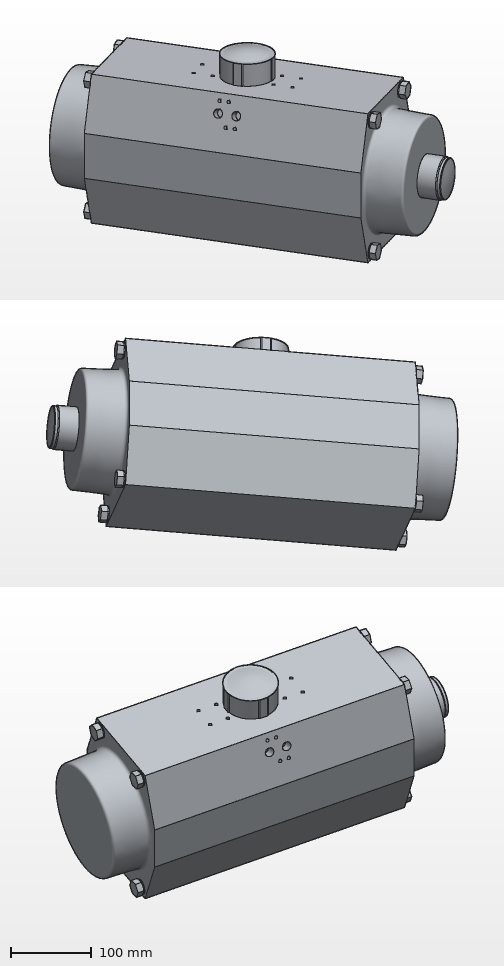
import cadquery as cq
import math


BODY_WIDTH = 175.0
BODY_HEIGHT = 199.5
TOP_WIDTH = 125.0
SIDE_HEIGHT = 60.0
HOUSING_LENGTH = 315.5
PLATE_THICKNESS = 24.5
HALF_HEIGHT = BODY_HEIGHT / 2
HOUSING_END = HOUSING_LENGTH / 2
PLATE_END = HOUSING_END + PLATE_THICKNESS
SLOPE_RUN = (BODY_WIDTH - TOP_WIDTH) / 2
SLOPE_DROP = (BODY_HEIGHT - SIDE_HEIGHT) / 2

CAP_END = 234.0
CAP_BASE_RADIUS = 77.5
CAP_END_RADIUS = 75.5
CAP_FOOT_FILLET = 4.5
CAP_RIM_FILLET = 3.5

NUT_RADIUS = 27.5
NUT_COLLAR_END = 258.5
NUT_NECK_RADIUS = 26.5
NUT_NECK_START = 260.0
NUT_NECK_END = 263.5
NUT_DOME_RADIUS = 25.5
NUT_DOME_START = 264.5
NUT_END = 267.0

KNOB_RADIUS = 34.0
KNOB_RIM_RADIUS = 34.5
KNOB_RIM_THICKNESS = 0.5
KNOB_TOP = 130.0
DOME_RADIUS = 29.0
DOME_RISE = 5.0
RIB_COUNT = 4
RIB_ROOT_WIDTH = 13.5
RIB_CREST_WIDTH = 10.5

BOLT_Y = 52.0
BOLT_Z = 87.5
BOLT_ACROSS_FLATS = 19.0
BOLT_PROTRUSION = 10.0
BOLT_TURN = 9.0
WASHER_DIAMETER = 20.0
WASHER_THICKNESS = 1.5

SCREW_HOLE_DIAMETER = 4.2
SCREW_HOLE_DEPTH = 10.0
TOP_HOLE_X = (40.0, 65.0)
TOP_HOLE_Y = 15.0
PORT_DIAMETER = 11.5
PORT_DEPTH = 15.0
PORT_Z = 75.0
PORT_X = 12.0
PORT_SCREW_OFFSET = 16.0


def dome_mid_rise(base_radius, rise):
    """Height of a spherical dome above its base, halfway out to its edge."""
    sphere_radius = (base_radius ** 2 + rise ** 2) / (2 * rise)
    return rise - sphere_radius + math.sqrt(sphere_radius ** 2 - (base_radius / 2) ** 2)


def body_prism(start, end):
    """Length of the eight-sided body section from X = start to X = end."""
    side, top = BODY_WIDTH / 2, TOP_WIDTH / 2
    corner = SIDE_HEIGHT / 2
    outline = [
        (top, HALF_HEIGHT), (side, corner), (side, -corner), (top, -HALF_HEIGHT),
        (-top, -HALF_HEIGHT), (-side, -corner), (-side, corner), (-top, HALF_HEIGHT),
    ]
    return cq.Workplane("YZ", origin=(start, 0, 0)).polyline(outline).close().extrude(end - start)


def body():
    """Housing between two end plates; the seams between them are kept."""
    housing = body_prism(-HOUSING_END, HOUSING_END)
    left_plate = body_prism(-PLATE_END, -HOUSING_END)
    right_plate = body_prism(HOUSING_END, PLATE_END)
    return housing.union(left_plate, clean=False).union(right_plate, clean=False)


def cap():
    """Tapered cap on the +X end plate, with a flared foot and a rounded rim."""
    arc_mid = CAP_FOOT_FILLET * (1 - math.sqrt(0.5))
    return (
        cq.Workplane("XY")
        .moveTo(PLATE_END, 0)
        .lineTo(PLATE_END, CAP_BASE_RADIUS + CAP_FOOT_FILLET)
        .threePointArc(
            (PLATE_END + arc_mid, CAP_BASE_RADIUS + arc_mid),
            (PLATE_END + CAP_FOOT_FILLET, CAP_BASE_RADIUS),
        )
        .lineTo(CAP_END, CAP_END_RADIUS)
        .lineTo(CAP_END, 0)
        .close()
        .revolve(360, (0, 0, 0), (1, 0, 0))
        .faces(">X")
        .edges()
        .fillet(CAP_RIM_FILLET)
    )


def bolt(y, z, turn):
    """Bolt head on a washer, standing on the +X end plate."""
    seat = cq.Workplane("YZ", origin=(PLATE_END, y, z))
    washer = seat.circle(WASHER_DIAMETER / 2).extrude(WASHER_THICKNESS)
    head = (
        seat.workplane(offset=WASHER_THICKNESS)
        .transformed(rotate=(0, 0, turn))
        .polygon(6, BOLT_ACROSS_FLATS / math.cos(math.pi / 6))
        .extrude(BOLT_PROTRUSION - WASHER_THICKNESS)
    )
    return washer.union(head)


def end_cover():
    """Cap and four bolts on the +X end; the +Y upper bolt is turned the other way."""
    cover = cap()
    for y, z, turn in [
        (BOLT_Y, BOLT_Z, BOLT_TURN),
        (-BOLT_Y, BOLT_Z, -BOLT_TURN),
        (-BOLT_Y, -BOLT_Z, -BOLT_TURN),
        (BOLT_Y, -BOLT_Z, -BOLT_TURN),
    ]:
        cover = cover.union(bolt(y, z, turn))
    return cover


def stop_nut():
    """Turned stop nut on the face of the +X cap."""
    dome_mid = NUT_DOME_START + dome_mid_rise(NUT_DOME_RADIUS, NUT_END - NUT_DOME_START)
    return (
        cq.Workplane("XY")
        .moveTo(CAP_END, 0)
        .lineTo(CAP_END, NUT_RADIUS)
        .lineTo(NUT_COLLAR_END, NUT_RADIUS)
        .lineTo(NUT_NECK_START, NUT_NECK_RADIUS)
        .lineTo(NUT_NECK_END, NUT_NECK_RADIUS)
        .lineTo(NUT_DOME_START, NUT_DOME_RADIUS)
        .threePointArc((dome_mid, NUT_DOME_RADIUS / 2), (NUT_END, 0))
        .close()
        .revolve(360, (0, 0, 0), (1, 0, 0))
    )


def knob():
    """Indicator knob with a thin rim, a domed top and shallow ribs with sloping flanks."""
    rim_underside = KNOB_TOP - KNOB_RIM_THICKNESS
    dome_mid = KNOB_TOP + dome_mid_rise(DOME_RADIUS, DOME_RISE)
    turned = (
        cq.Workplane("XZ")
        .moveTo(0, HALF_HEIGHT)
        .lineTo(KNOB_RADIUS, HALF_HEIGHT)
        .lineTo(KNOB_RADIUS, rim_underside)
        .lineTo(KNOB_RIM_RADIUS, rim_underside)
        .lineTo(KNOB_RIM_RADIUS, KNOB_TOP)
        .lineTo(DOME_RADIUS, KNOB_TOP)
        .threePointArc((DOME_RADIUS / 2, dome_mid), (0, KNOB_TOP + DOME_RISE))
        .close()
        .revolve(360, (0, 0, 0), (0, 1, 0))
    )
    root, crest = RIB_ROOT_WIDTH / 2, RIB_CREST_WIDTH / 2
    root_x = math.sqrt(KNOB_RADIUS ** 2 - root ** 2)
    rib = (
        cq.Workplane("XY", origin=(0, 0, HALF_HEIGHT))
        .moveTo(0, -root)
        .lineTo(root_x, -root)
        .lineTo(KNOB_RIM_RADIUS, -crest)
        .lineTo(KNOB_RIM_RADIUS, crest)
        .lineTo(root_x, root)
        .lineTo(0, root)
        .close()
        .extrude(rim_underside - HALF_HEIGHT)
    )
    for index in range(RIB_COUNT):
        placed_rib = rib.rotate((0, 0, 0), (0, 0, 1), 360 / RIB_COUNT * index)
        turned = turned.union(placed_rib, clean=False)
    return turned


def hole_cutters(face, points, diameter, depth):
    """Round blind-hole cutters running into the body from the given face."""
    return face.pushPoints(points).circle(diameter / 2).extrude(-depth)


def top_holes():
    """Screw holes on both sides of the knob, in the top face."""
    face = cq.Workplane("XY", origin=(0, 0, HALF_HEIGHT))
    points = [
        (side * x, y)
        for x in TOP_HOLE_X
        for side in (-1, 1)
        for y in (-TOP_HOLE_Y, TOP_HOLE_Y)
    ]
    return hole_cutters(face, points, SCREW_HOLE_DIAMETER, SCREW_HOLE_DEPTH)


def port_holes():
    """Two air ports and four screw holes, square to the -Y upper sloping face."""
    port_y = -TOP_WIDTH / 2 - SLOPE_RUN * (HALF_HEIGHT - PORT_Z) / SLOPE_DROP
    face = cq.Workplane(
        cq.Plane(origin=(0, port_y, PORT_Z), xDir=(1, 0, 0), normal=(0, -SLOPE_DROP, SLOPE_RUN))
    )
    port_points = [(-PORT_X, 0), (PORT_X, 0)]
    screw_points = [
        (-PORT_X, PORT_SCREW_OFFSET), (0, PORT_SCREW_OFFSET),
        (0, -PORT_SCREW_OFFSET), (PORT_X, -PORT_SCREW_OFFSET),
    ]
    ports = hole_cutters(face, port_points, PORT_DIAMETER, PORT_DEPTH)
    screws = hole_cutters(face, screw_points, SCREW_HOLE_DIAMETER, SCREW_HOLE_DEPTH)
    return ports.union(screws)


right_cover = end_cover()
left_cover = right_cover.mirror("YZ")
result = body()
for part in (right_cover, left_cover, stop_nut(), knob()):
    result = result.union(part, clean=False)
for cutters in (top_holes(), port_holes()):
    result = result.cut(cutters, clean=False)